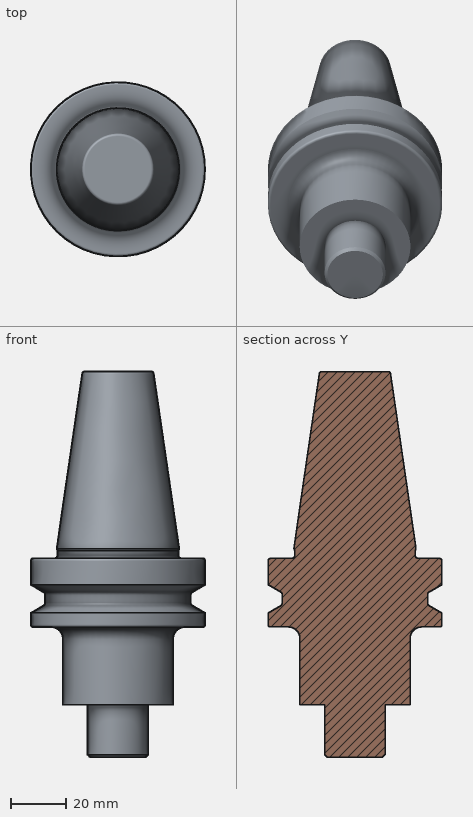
import cadquery as cq
import math

total_height = 139.4
pilot_length = 19.0
body_top = 47.0
flange_thickness = 25.0
flange_top = body_top + flange_thickness
neck_height = 2.6
gauge_level = 75.4

pilot_diameter = 22.0
body_diameter = 40.0
flange_diameter = 63.0
groove_diameter = 52.7
neck_diameter = 43.8
gauge_diameter = 44.3
taper_ratio = 7 / 24
tip_diameter = gauge_diameter - taper_ratio * (total_height - gauge_level)

upper_rim_height = 9.6
lower_rim_height = 5.2
groove_wall_angle = 30
groove_wall_drop = (flange_diameter - groove_diameter) / 2 * math.tan(math.radians(groove_wall_angle))
groove_top = flange_top - upper_rim_height
groove_bottom = body_top + lower_rim_height

pilot_chamfer = 1.0
outer_edge_radius = 1.0
groove_root_radius = 1.0
neck_fillet = 1.0
body_fillet = 4.0


def edges_at(level, diameter):
    """Selector for the circular edges at one height and diameter."""
    reach = 0.01
    radius = diameter / 2
    return (
        cq.selectors.BoxSelector(
            (-radius - reach, -radius - reach, level - reach),
            (radius + reach, radius + reach, level + reach),
            boundingbox=True,
        )
        - cq.selectors.BoxSelector(
            (-radius + reach, -radius + reach, level - reach),
            (radius - reach, radius - reach, level + reach),
            boundingbox=True,
        )
    )


half_section = [
    (0, 0),
    (pilot_diameter / 2, 0),
    (pilot_diameter / 2, pilot_length),
    (body_diameter / 2, pilot_length),
    (body_diameter / 2, body_top),
    (flange_diameter / 2, body_top),
    (flange_diameter / 2, groove_bottom),
    (groove_diameter / 2, groove_bottom + groove_wall_drop),
    (groove_diameter / 2, groove_top - groove_wall_drop),
    (flange_diameter / 2, groove_top),
    (flange_diameter / 2, flange_top),
    (neck_diameter / 2, flange_top),
    (neck_diameter / 2, flange_top + neck_height),
    (gauge_diameter / 2, gauge_level),
    (tip_diameter / 2, total_height),
    (0, total_height),
]
holder = cq.Workplane("XZ").polyline(half_section).close().revolve(360, (0, 0), (0, 1))

holder = holder.edges(edges_at(0, pilot_diameter)).chamfer(pilot_chamfer)

for level, diameter, radius in (
    (body_top, flange_diameter, outer_edge_radius),
    (flange_top, flange_diameter, outer_edge_radius),
    (total_height, tip_diameter, outer_edge_radius),
    (body_top, body_diameter, body_fillet),
    (flange_top, neck_diameter, neck_fillet),
    (groove_bottom + groove_wall_drop, groove_diameter, groove_root_radius),
    (groove_top - groove_wall_drop, groove_diameter, groove_root_radius),
):
    holder = holder.edges(edges_at(level, diameter)).fillet(radius)

result = holder